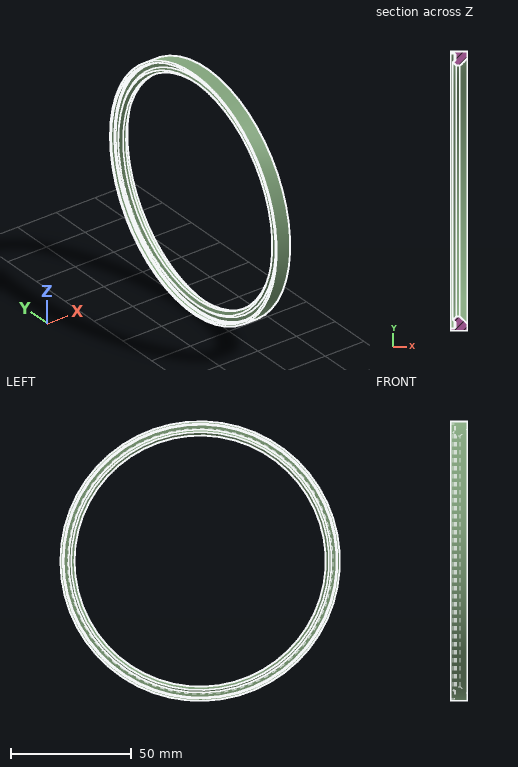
import cadquery as cq

outer_diameter = 116.0
width = 7.0

rim_inner_diameter = 114.0
recess_depth = 2.0
recess_corner_chamfer = 0.5

crest_diameter = 107.0
crest_depth = 0.9
bore_diameter = 104.0
bore_length = 1.5

outer_radius = outer_diameter / 2
rim_radius = rim_inner_diameter / 2
crest_radius = crest_diameter / 2
bore_radius = bore_diameter / 2

front = -width / 2
back = width / 2
floor = front + recess_depth
crest = front + crest_depth
bore_start = crest + crest_radius - bore_radius
bore_end = bore_start + bore_length

flare_radius = bore_radius + back - bore_end

section = [
    (front, outer_radius),
    (front, rim_radius),
    (floor - recess_corner_chamfer, rim_radius),
    (floor, rim_radius - recess_corner_chamfer),
    (floor, crest_radius + floor - crest),
    (crest, crest_radius),
    (bore_start, bore_radius),
    (bore_end, bore_radius),
    (back, flare_radius),
    (back, outer_radius),
]

result = cq.Workplane("XY").polyline(section).close().revolve(360, (0, 0, 0), (1, 0, 0))